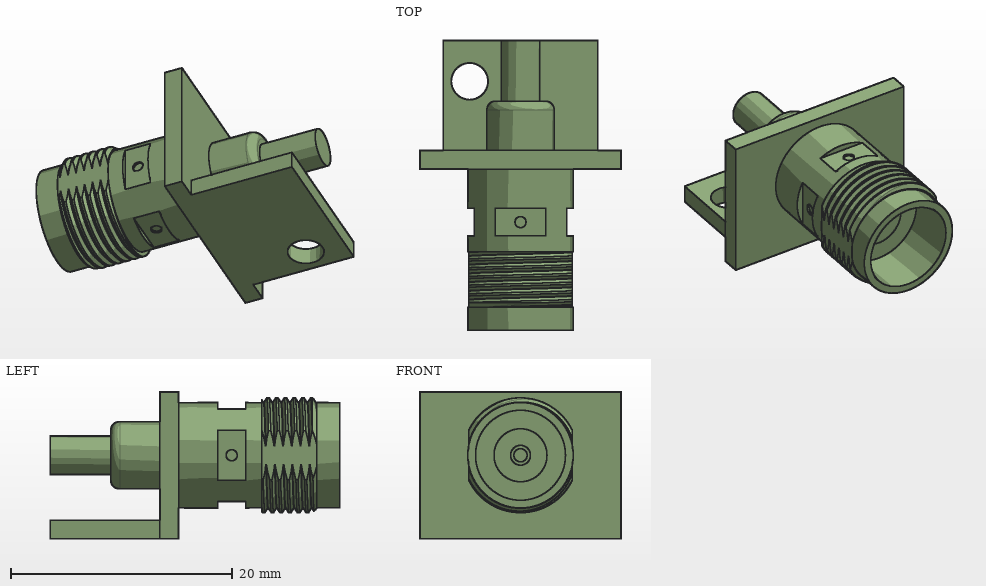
import cadquery as cq
import math


flange_width = 18.2
flange_height = 13.3
plate_thickness = 1.7
axis_to_flange_top = 5.73
flange_top = axis_to_flange_top
flange_bottom = flange_top - flange_height
lip_width = 14.0
lip_length = 9.94
lip_hole_diameter = 3.3
lip_hole_x = -4.6
lip_hole_from_edge = 3.7
bracket_rear = plate_thickness + lip_length

ferrule_diameter = 6.1
ferrule_length = 4.45
ferrule_fillet = 0.8
tube_diameter = 3.5

barrel_diameter = 9.55
barrel_rear_length = 7.5
thread_length = 5.0
nose_length = 2.1
barrel_length = barrel_rear_length + thread_length + nose_length
barrel_radius = barrel_diameter / 2

flat_count = 4
flat_radius = 4.2
flat_length = 2.5
flat_from_flange = 3.55
flat_hole_diameter = 1.0
flat_hole_depth = 0.2

thread_radius = 5.2
thread_depth = thread_radius - barrel_radius
thread_pitch = 0.79
thread_crest_width = 0.2
thread_root_width = 0.04
thread_chamfer = 0.4
thread_first_crest = 0.59
thread_across_flats = 9.4
groove_overcut = 0.05

bore_diameter = 8.15
bore_depth = 4.9
bore_floor = bore_depth - barrel_length
insulator_diameter = 4.8
insulator_length = 5.0
contact_diameter = 1.8
contact_length = 5.0
socket_diameter = 1.2
socket_depth = 3.0


def cylinder(diameter, front_y, length):
    """Solid cylinder on the connector axis, running from front_y towards +Y."""
    plane = cq.Plane(origin=(0, front_y, 0), xDir=(1, 0, 0), normal=(0, 1, 0))
    return cq.Workplane(plane).circle(diameter / 2).extrude(length)


def block(width, length, height, front_y, bottom_z):
    """Box centred on X, with its front face at front_y and its underside at bottom_z."""
    box = cq.Workplane("XY").box(width, length, height, centered=(True, False, False))
    return box.translate((0, front_y, bottom_z))


def make_bracket():
    flange = block(flange_width, plate_thickness, flange_height, 0, flange_bottom)
    lip = block(lip_width, bracket_rear, plate_thickness, 0, flange_bottom)
    hole = (
        cq.Workplane("XY", origin=(lip_hole_x, bracket_rear - lip_hole_from_edge, flange_bottom))
        .circle(lip_hole_diameter / 2)
        .extrude(plate_thickness)
    )
    return flange.union(lip).cut(hole)


def make_cable_exit():
    ferrule = cylinder(ferrule_diameter, 0, plate_thickness + ferrule_length)
    ferrule = ferrule.faces(">Y").edges().fillet(ferrule_fillet)
    return ferrule.union(cylinder(tube_diameter, 0, bracket_rear))


def make_groove_turn():
    """One turn of the helical V groove about +Z, starting at z = 0 on the +X side."""
    outer_radius = thread_radius + groove_overcut
    flank_width = (thread_pitch - thread_crest_width - thread_root_width) / 2
    root_half_width = thread_root_width / 2
    outer_half_width = root_half_width + flank_width * (outer_radius - barrel_radius) / thread_depth
    helix = cq.Wire.makeHelix(thread_pitch, thread_pitch, barrel_radius)
    return (
        cq.Workplane("XZ")
        .polyline([
            (barrel_radius, -root_half_width),
            (outer_radius, -outer_half_width),
            (outer_radius, outer_half_width),
            (barrel_radius, root_half_width),
        ])
        .close()
        .sweep(cq.Workplane(helix), isFrenet=True)
    )


def make_thread():
    """Threaded length with two flanks cut flat; modelled along +Z, then turned to -Y."""
    thread = cq.Workplane("XY").circle(thread_radius).extrude(thread_length)
    thread = thread.faces(">Z").chamfer(thread_chamfer)
    flats = cq.Workplane("XY").box(
        thread_across_flats, 2 * thread_radius, thread_length, centered=(True, True, False)
    )
    thread = thread.intersect(flats)

    groove_turn = make_groove_turn()
    first_start = thread_first_crest - 1.75 * thread_pitch
    turn_count = math.ceil((thread_length - first_start) / thread_pitch)
    for turn in range(turn_count):
        thread = thread.cut(groove_turn.translate((0, 0, first_start + turn * thread_pitch)))

    return thread.rotate((0, 0, 0), (1, 0, 0), 90).translate((0, -barrel_rear_length, 0))


def make_flat_cutter():
    """Pocket for the flat on the +Z side, with its blind hole."""
    front_y = -flat_from_flange - flat_length
    pocket = block(barrel_diameter, flat_length, barrel_diameter, front_y, flat_radius)
    hole = (
        cq.Workplane("XY", origin=(0, front_y + flat_length / 2, flat_radius - flat_hole_depth))
        .circle(flat_hole_diameter / 2)
        .extrude(2 * flat_hole_depth)
    )
    return pocket.union(hole)


def make_housing():
    housing = make_bracket().union(make_cable_exit())
    housing = housing.union(cylinder(barrel_diameter, -barrel_rear_length, barrel_rear_length))
    housing = housing.union(make_thread())
    housing = housing.union(cylinder(barrel_diameter, -barrel_length, nose_length))
    flat_cutter = make_flat_cutter()
    for index in range(flat_count):
        angle = index * 360 / flat_count
        housing = housing.cut(flat_cutter.rotate((0, 0, 0), (0, 1, 0), angle))
    housing = housing.cut(cylinder(bore_diameter, -barrel_length, bore_depth))
    return housing.cut(cylinder(insulator_diameter, bore_floor, insulator_length))


def make_insulator():
    insulator = cylinder(insulator_diameter, bore_floor, insulator_length)
    return insulator.cut(cylinder(contact_diameter, bore_floor, contact_length))


def make_contact():
    contact = cylinder(contact_diameter, bore_floor, contact_length)
    return contact.cut(cylinder(socket_diameter, bore_floor, socket_depth))


housing = make_housing()
insulator = make_insulator()
contact = make_contact()

result = cq.Compound.makeCompound([housing.val(), insulator.val(), contact.val()])